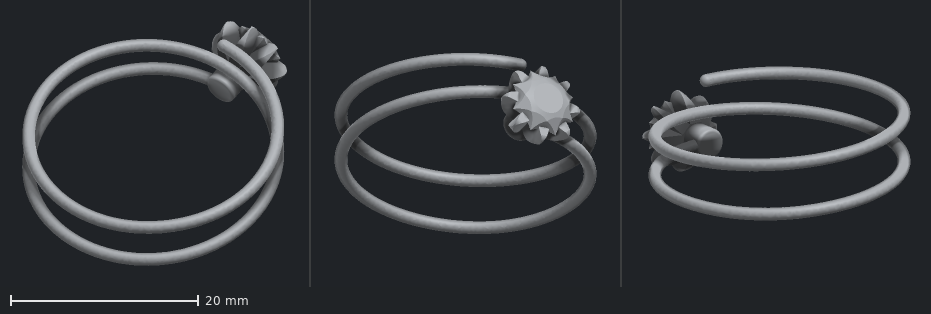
import cadquery as cq
import math

ring_radius = 14.0
wire_radius = 0.68
wire_rise = 7.03
path_radius = ring_radius - wire_radius
turns_angle = 720.0
level_angle = 135.0
blend_angle = 20.0
path_step = 15.0

stem_radius = 1.75
stem_start = 12.5
stem_fillet = 0.35
petal_count = 8
petal_base = 15.23
petal_base_radius = 1.7
petal_belly_radius = 3.35
petal_belly = 16.1
petal_tip_radius = 4.55
petal_tip = 18.15
petal_round_radius = 4.37
petal_round = 18.85
petal_top_radius = 4.0
petal_top = 19.1
petal_root_half_width = 0.6
petal_half_width = 0.65
petal_wide_radius = 2.73
petal_taper_half_width = 0.3
petal_taper_radius = 4.1
petal_tip_half_width = 0.07

facet_count = 8
table = 20.15
table_radius = 1.75
crown_point = 19.85
crown_point_radius = 2.63
girdle = 18.8
girdle_tip_radius = 3.85
girdle_notch_radius = 3.15
culet = 16.35
cutter_overrun = 5.12
half_facet = math.pi / facet_count


def blend_ramp(angle):
    """Level below zero, rising one per degree above it, joined by a parabola across the blend."""
    if angle <= -blend_angle:
        return 0.0
    if angle >= blend_angle:
        return angle
    return (angle + blend_angle) ** 2 / (4 * blend_angle)


def wire_point(angle):
    """Centre of the wire, at a clockwise turn from the free end (0) down to the stem."""
    end_slope = turns_angle - level_angle
    descent = blend_ramp(angle - level_angle) - blend_ramp(angle - end_slope)
    height = wire_rise * (1 - descent / (end_slope - level_angle))
    turn = math.radians(angle)
    return cq.Vector(path_radius * math.sin(turn), path_radius * math.cos(turn), height)


def along_y(shape):
    """Turn a shape built along +Z so that it lies along +Y."""
    return shape.rotate((0, 0, 0), (1, 0, 0), -90)


def around_axis(shape, count):
    """Copies of a shape spaced evenly about Z."""
    return [shape.rotate((0, 0, 0), (0, 0, 1), i * 360.0 / count) for i in range(count)]


def make_stem():
    length = petal_base - stem_start
    stem = cq.Workplane("XY").workplane(offset=stem_start).circle(stem_radius).extrude(length)
    return stem.edges().fillet(stem_fillet)


def make_petal():
    """One petal along +X: a side profile trimmed to an outline that tapers to the tip."""
    side = (
        cq.Workplane("XZ")
        .moveTo(0, petal_base)
        .lineTo(petal_base_radius, petal_base)
        .threePointArc((petal_belly_radius, petal_belly), (petal_tip_radius, petal_tip))
        .threePointArc((petal_round_radius, petal_round), (petal_top_radius, petal_top))
        .lineTo(0, petal_top)
        .close()
        .extrude(2 * petal_half_width, both=True)
    )
    edge = [
        (petal_wide_radius, petal_half_width),
        (petal_taper_radius, petal_taper_half_width),
        (petal_tip_radius, petal_tip_half_width),
    ]
    other_edge = [(x, -y) for x, y in reversed(edge)]
    outline = (
        cq.Workplane("XY")
        .workplane(offset=petal_base)
        .moveTo(0, petal_root_half_width)
        .spline(edge, includeCurrent=True)
        .lineTo(petal_tip_radius, -petal_tip_half_width)
        .spline(other_edge[1:] + [(0, -petal_root_half_width)], includeCurrent=True)
        .close()
        .extrude(petal_top - petal_base)
    )
    return side.intersect(outline)


def scallop(end_radius, end_height):
    """Round cutter that hollows one facet from the girdle notch to a point farther in."""
    run = girdle_notch_radius - end_radius
    rise = end_height - girdle
    length = math.hypot(run, rise)
    steepness = abs(rise) / length
    depth = girdle_tip_radius * math.cos(half_facet) - girdle_notch_radius
    half_chord = girdle_tip_radius * math.sin(half_facet)
    radius = ((depth * steepness) ** 2 + half_chord ** 2) / (2 * depth * steepness)
    cutter_length = length + 2 * cutter_overrun
    direction = cq.Vector(-run, 0, rise) * (1 / length)
    outward = cq.Vector(steepness, 0, math.copysign(run / length, rise))
    start = cq.Vector(girdle_notch_radius, 0, girdle) + outward * radius - direction * cutter_overrun
    return cq.Workplane(cq.Solid.makeCylinder(radius, cutter_length, start, direction))


def make_crown():
    """Cone and flat facets above the girdle, hollowed between the girdle tips."""
    cone_slope = (table - crown_point) / (crown_point_radius - table_radius)
    cone_radius = 2 * girdle_tip_radius
    cone_foot = table - (cone_radius - table_radius) * cone_slope
    cone = (
        cq.Workplane("XZ")
        .moveTo(0, table)
        .lineTo(table_radius, table)
        .lineTo(cone_radius, cone_foot)
        .lineTo(0, cone_foot)
        .close()
        .revolve(360, (0, 0, 0), (0, 1, 0))
    )
    facet_run = girdle_tip_radius - crown_point_radius * math.cos(half_facet)
    facet_taper = math.degrees(math.atan2(facet_run, crown_point - girdle))
    facets = (
        cq.Workplane("XY")
        .workplane(offset=girdle)
        .polygon(facet_count, 2 * girdle_tip_radius / math.cos(half_facet))
        .extrude(table - girdle, taper=facet_taper)
    )
    crown = facets.intersect(cone)
    for cutter in around_axis(scallop(crown_point_radius, crown_point), facet_count):
        crown = crown.cut(cutter)
    return crown


def make_pavilion():
    """Pointed underside of the gem with the same hollow facets."""
    pavilion = (
        cq.Workplane("XZ")
        .moveTo(0, culet)
        .lineTo(girdle_tip_radius, girdle)
        .lineTo(0, girdle)
        .close()
        .revolve(360, (0, 0, 0), (0, 1, 0))
    )
    for cutter in around_axis(scallop(0, culet), facet_count):
        pavilion = pavilion.cut(cutter)
    return pavilion


def make_gem():
    return along_y(make_crown().union(make_pavilion()))


def make_setting(gem):
    """Stem and petals, with a seat for the gem."""
    setting = make_stem()
    for petal in around_axis(make_petal(), petal_count):
        setting = setting.union(petal)
    return along_y(setting).cut(gem)


def make_wire(setting):
    """Round wire with a domed free end; the other end butts against the stem."""
    steps = round(turns_angle / path_step)
    path = cq.Edge.makeSpline([wire_point(i * path_step) for i in range(steps + 1)])
    free_end = wire_point(0)
    wire = (
        cq.Workplane("YZ", origin=free_end.toTuple())
        .circle(wire_radius)
        .sweep(cq.Workplane(path))
    )
    dome = cq.Workplane("XY", origin=free_end.toTuple()).sphere(wire_radius)
    return wire.union(dome).cut(setting)


gem = make_gem()
setting = make_setting(gem)
wire = make_wire(setting)

result = cq.Compound.makeCompound([body.solids().val() for body in (wire, setting, gem)])